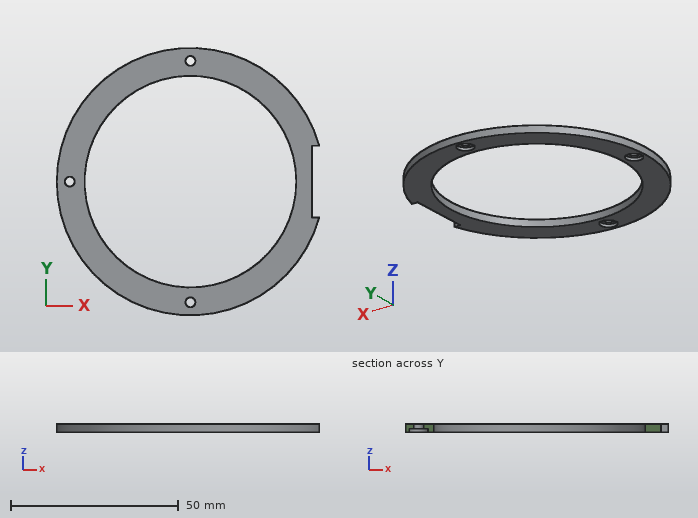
import cadquery as cq

outer_diameter = 79.7
inner_diameter = 63.0
thickness = 2.5

hole_diameter = 2.9
recess_diameter = 5.5
recess_depth = 1.0
hole_circle_radius = 35.95
hole_angles = (90, 180, 270)

notch_floor_x = 36.3
notch_width = 21.4


def make_ring():
    """Flat ring resting on the XY plane."""
    return (
        cq.Workplane("XY")
        .circle(outer_diameter / 2)
        .circle(inner_diameter / 2)
        .extrude(thickness)
    )


def make_cylinders(diameter, height):
    """Upright cylinders at the hole positions, with none on the notched side."""
    cylinder = cq.Workplane("XY").circle(diameter / 2).extrude(height)
    cylinder = cylinder.translate((hole_circle_radius, 0, 0))
    cylinders = cq.Workplane("XY")
    for angle in hole_angles:
        cylinders = cylinders.union(cylinder.rotate((0, 0, 0), (0, 0, 1), angle))
    return cylinders


def make_holes():
    """Through holes, counterbored from the underside."""
    through_holes = make_cylinders(hole_diameter, thickness)
    recesses = make_cylinders(recess_diameter, recess_depth)
    return through_holes.union(recesses)


def make_notch():
    """Block that removes the ring's edge from the notch floor outward."""
    notch_length = outer_diameter / 2 - notch_floor_x
    return (
        cq.Workplane("XY")
        .center(notch_floor_x + notch_length / 2, 0)
        .rect(notch_length, notch_width)
        .extrude(thickness)
    )


result = make_ring().cut(make_holes()).cut(make_notch())